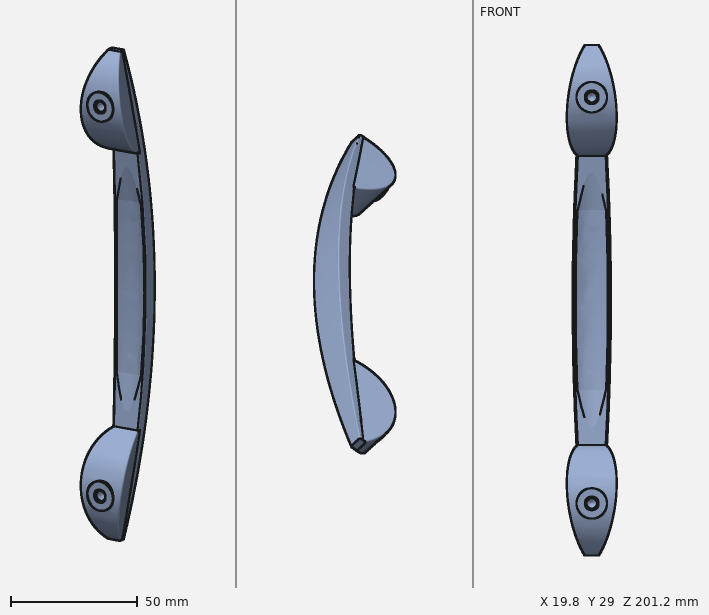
import cadquery as cq
import math

LENGTH = 201.15
DEPTH = 29.01
HALF_LENGTH = LENGTH / 2

BACK_END_Y = 13.6
FRONT_MID_Y = 22.8
FRONT_END_Y = 11.1
BAR_MID_WIDTH = 15.2
BAR_END_WIDTH = 5.6
BAR_EDGE_FILLET = 0.6

GROOVE_HALF_LENGTH = 50.2
GROOVE_MID_WIDTH = 12.6
GROOVE_DEPTH = 2.0
GROOVE_BEND_Z = 36.0
GROOVE_BEND_DEPTH = 1.5

FOOT_TIP_Y = 10.4
FOOT_INNER_Z = 56.9
FOOT_INNER_Y = 19.2
FOOT_BLANK_WIDTH = 40.0
FOOT_DRAFT = 20.1
FOOT_EDGE_FILLET = 0.6
FOOT_CREST_Y = 0.4
FOOT_ROOT_DEPTH = 0.8
FLANK_OVERRUN = 4.0

PAD_SPACING = 160.0
PAD_DIAMETER = 12.0
PAD_ROOT_Y = 3.0
HOLE_DIAMETER = 4.2
HOLE_MOUTH_DIAMETER = 5.4
HOLE_DEPTH = 10.0
DRILL_TIP_ANGLE = 118.0


def bow_radius(rise, half_span):
    """Radius of an arc with the given rise over the given half span."""
    return (half_span ** 2 + rise ** 2) / (2 * rise)


def bow_drop(radius, z):
    """How far an arc of this radius falls from its crest at height z."""
    return radius - math.sqrt(radius ** 2 - z ** 2)


SIDE_RADIUS = bow_radius((BAR_MID_WIDTH - BAR_END_WIDTH) / 2, HALF_LENGTH)
FRONT_RADIUS = bow_radius(FRONT_MID_Y - FRONT_END_Y, HALF_LENGTH)


def bar_half_width(z):
    return BAR_MID_WIDTH / 2 - bow_drop(SIDE_RADIUS, z)


def bar_front_y(z):
    return FRONT_MID_Y - bow_drop(FRONT_RADIUS, z)


def make_bar():
    side_profile = (
        cq.Workplane("YZ")
        .moveTo(BACK_END_Y, -HALF_LENGTH)
        .threePointArc((DEPTH, 0), (BACK_END_Y, HALF_LENGTH))
        .lineTo(FRONT_END_Y, HALF_LENGTH)
        .threePointArc((FRONT_MID_Y, 0), (FRONT_END_Y, -HALF_LENGTH))
        .close()
        .extrude(BAR_MID_WIDTH, both=True)
    )
    half_end = BAR_END_WIDTH / 2
    half_mid = BAR_MID_WIDTH / 2
    outline = (
        cq.Workplane("XZ")
        .moveTo(half_end, -HALF_LENGTH)
        .threePointArc((half_mid, 0), (half_end, HALF_LENGTH))
        .lineTo(-half_end, HALF_LENGTH)
        .threePointArc((-half_mid, 0), (-half_end, -HALF_LENGTH))
        .close()
        .extrude(-DEPTH)
    )
    bar = side_profile.intersect(outline)
    return bar.edges("not (|X or |Y)").fillet(BAR_EDGE_FILLET)


def make_groove():
    """Round-bottomed cutter that follows the bow and runs out of the bar at both ends."""
    tube_radius = bow_radius(GROOVE_DEPTH, GROOVE_MID_WIDTH / 2)
    bend_floor_y = bar_front_y(GROOVE_BEND_Z) + GROOVE_BEND_DEPTH
    exit_angle = math.atan2(
        bend_floor_y - bar_front_y(GROOVE_HALF_LENGTH),
        GROOVE_HALF_LENGTH - GROOVE_BEND_Z,
    )
    shift_y = tube_radius * math.cos(exit_angle)
    shift_z = tube_radius * math.sin(exit_angle)
    mid_y = FRONT_MID_Y + GROOVE_DEPTH - tube_radius
    bend_y = bend_floor_y - shift_y
    bend_z = GROOVE_BEND_Z - shift_z
    end_y = bar_front_y(GROOVE_HALF_LENGTH) - shift_y
    end_z = GROOVE_HALF_LENGTH - shift_z
    path = (
        cq.Workplane("YZ")
        .moveTo(end_y, -end_z)
        .lineTo(bend_y, -bend_z)
        .threePointArc((mid_y, 0), (bend_y, bend_z))
        .lineTo(end_y, end_z)
    )
    start = cq.Plane(
        origin=(0, end_y, -end_z),
        xDir=(1, 0, 0),
        normal=(0, bend_y - end_y, end_z - bend_z),
    )
    return cq.Workplane(start).circle(tube_radius).sweep(path, transition="right")


def foot_outline():
    """Bow-sided outline of the foot, lying along the chord of the bar front."""
    lean = (FOOT_INNER_Y - FRONT_END_Y) / (HALF_LENGTH - FOOT_INNER_Z)
    low_z = FOOT_INNER_Z - FLANK_OVERRUN
    high_z = HALF_LENGTH + FLANK_OVERRUN
    length = (high_z - low_z) * math.hypot(1, lean)
    base = cq.Plane(
        origin=(0, FOOT_INNER_Y + lean * FLANK_OVERRUN, low_z),
        xDir=(1, 0, 0),
        normal=(0, -1, -lean),
    )
    low = bar_half_width(low_z)
    middle = bar_half_width((low_z + high_z) / 2)
    high = bar_half_width(high_z)
    return (
        cq.Workplane(base)
        .moveTo(low, 0)
        .threePointArc((middle, length / 2), (high, length))
        .lineTo(-high, length)
        .threePointArc((-middle, length / 2), (-low, 0))
        .close()
    )


def make_foot():
    """Upper foot: a rounded side profile trimmed by flaring flanks, on a straight root."""
    profile = (
        cq.Workplane("YZ")
        .moveTo(FOOT_INNER_Y, FOOT_INNER_Z)
        .threePointArc((FOOT_CREST_Y, PAD_SPACING / 2), (FOOT_TIP_Y, HALF_LENGTH))
        .lineTo(FRONT_END_Y + FOOT_ROOT_DEPTH, HALF_LENGTH)
        .lineTo(FOOT_INNER_Y + FOOT_ROOT_DEPTH, FOOT_INNER_Z)
        .close()
        .extrude(FOOT_BLANK_WIDTH / 2, both=True)
    )
    flare = profile.intersect(foot_outline().extrude(DEPTH, taper=-FOOT_DRAFT))
    root = profile.intersect(foot_outline().extrude(-FOOT_ROOT_DEPTH))
    crest = cq.selectors.NearestToPointSelector((0, FOOT_CREST_Y, PAD_SPACING / 2))
    rim = flare.faces(crest).edges("not |X")
    return flare.newObject(rim.vals()).fillet(FOOT_EDGE_FILLET).union(root)


def make_pad():
    """Flat round seat around the screw hole."""
    return (
        cq.Workplane("XZ")
        .center(0, PAD_SPACING / 2)
        .circle(PAD_DIAMETER / 2)
        .extrude(-PAD_ROOT_Y)
    )


def make_screw_hole():
    """Blind drilled hole with a countersunk mouth, as one turned cutter."""
    radius = HOLE_DIAMETER / 2
    mouth = HOLE_MOUTH_DIAMETER / 2
    tip = radius / math.tan(math.radians(DRILL_TIP_ANGLE / 2))
    return (
        cq.Workplane("XY")
        .polyline([
            (0, 0),
            (mouth, 0),
            (radius, mouth - radius),
            (radius, HOLE_DEPTH),
            (0, HOLE_DEPTH + tip),
        ])
        .close()
        .revolve(360, (0, 0), (0, 1))
        .translate((0, 0, PAD_SPACING / 2))
    )


result = make_bar().cut(make_groove())
foot = make_foot().union(make_pad())
screw_hole = make_screw_hole()
for body in (foot, foot.mirror("XY")):
    result = result.union(body)
for cutter in (screw_hole, screw_hole.mirror("XY")):
    result = result.cut(cutter)